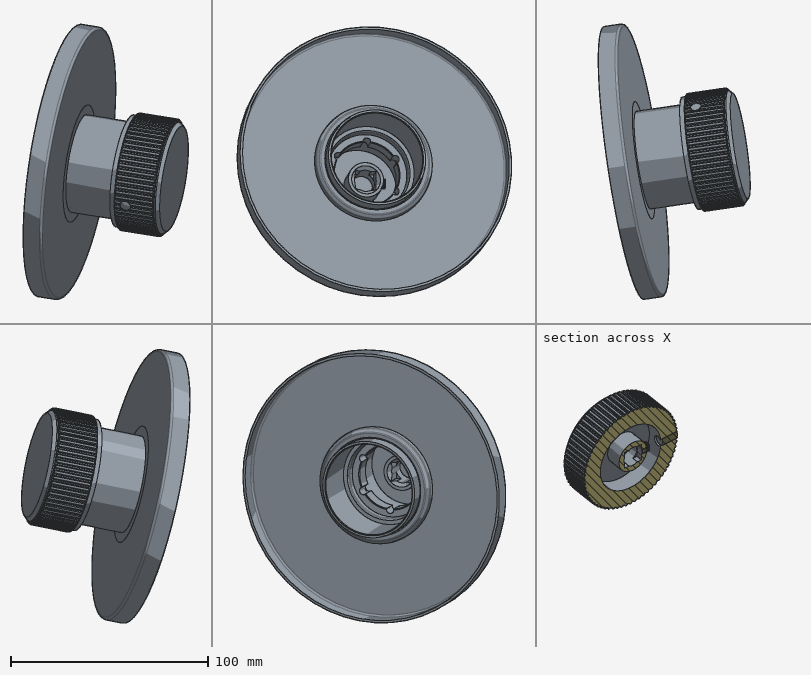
import cadquery as cq
import math


rosette_radius = 70.0
rosette_mouth_x = 3.4
rosette_back_x = 13.3
sheet_thickness = 1.3
dish_outer_fillet = 1.3
dish_inner_fillet = 1.0

bush_radius = 30.1
bush_front_x = 6.7
bush_chamfer = 2.0
bush_fillet = 1.0
bush_bore_chamfer = 0.7

shank_radius = 25.0
shank_length = 37.5
bore_radius = 23.5
bore_depth = 24.5
bore_chamfer = 0.4
step_radius = 20.6
step_depth = 29.3
step_chamfer = 0.8
step_fillet = 1.0
star_radius = 16.7
star_chamfer = 0.4
notch_radius = 2.0
notch_centre_radius = 17.0
notch_count = 6

overall_length = 63.3
collar_radius = 28.8
knurl_start_x = 40.0
knurl_end_x = 60.8
end_chamfer = 1.8
ridge_count = 66
ridge_root_width = 2.1
ridge_crown_width = 1.3
ridge_root_radius = 29.4
ridge_crown_radius = 29.8
ridge_tip_radius = 30.2
ridge_end_chamfer = 0.5
cavity_radius = 19.3
cavity_floor_x = 53.2

hub_y = -1.5
hub_radius = 9.1
hub_front_x = knurl_start_x
spindle_radius = 5.6
socket_width = 10.6
socket_height = 9.8
socket_end_x = 47.6
countersink_radius = 7.4

screw_x = 46.0
screw_radius = 2.5
screw_inner_y = hub_y - spindle_radius - 0.3
screw_outer_y = -12.3
thread_count = 10
thread_depth = 0.4
plug_radius = 2.8
plug_inner_y = -20.3
plug_rim_y = -30.0
plug_tip_y = -30.7


def turned(points):
    """Revolve a closed outline of (x, radius) points about the X axis."""
    return cq.Workplane("XY").polyline(points).close().revolve(360, (0, 0, 0), (1, 0, 0))


def cylinder_x(radius, start_x, end_x, y=0.0, z=0.0):
    return cq.Workplane("YZ", origin=(start_x, y, z)).circle(radius).extrude(end_x - start_x)


def cylinder_to_minus_y(radius, start_y, end_y):
    return cq.Workplane("XZ", origin=(screw_x, start_y, 0)).circle(radius).extrude(start_y - end_y)


def make_rosette():
    shell = cylinder_x(rosette_radius, rosette_mouth_x, rosette_back_x)
    shell = shell.faces(">X").edges().fillet(dish_outer_fillet)
    dish = cylinder_x(
        rosette_radius - sheet_thickness, rosette_mouth_x, rosette_back_x - sheet_thickness
    )
    dish = dish.faces(">X").edges().fillet(dish_inner_fillet)
    hole = cylinder_x(bush_radius, rosette_mouth_x, rosette_back_x)
    return shell.cut(dish).cut(hole)


def make_bush():
    shoulder_x = bush_front_x + bush_chamfer
    ring = turned([
        (bush_front_x, 0),
        (bush_front_x, bush_radius - bush_chamfer),
        (shoulder_x, bush_radius),
        (rosette_back_x, bush_radius),
        (rosette_back_x, 0),
    ])
    ring = ring.edges(cq.selectors.BoxSelector(
        (bush_front_x - bush_fillet, -bush_radius, -bush_radius),
        (shoulder_x + bush_fillet, bush_radius, bush_radius),
    )).edges("%CIRCLE").fillet(bush_fillet)
    ring = ring.cut(cylinder_x(shank_radius, bush_front_x, rosette_back_x))
    return ring.cut(turned([
        (bush_front_x, 0),
        (bush_front_x, shank_radius + bush_bore_chamfer),
        (bush_front_x + bush_bore_chamfer, shank_radius),
        (bush_front_x + bush_bore_chamfer, 0),
    ]))


def make_shank():
    shank = turned([
        (0, bore_radius + bore_chamfer),
        (0, shank_radius),
        (shank_length, shank_radius),
        (shank_length, star_radius),
        (step_depth + star_chamfer, star_radius),
        (step_depth, star_radius + star_chamfer),
        (step_depth, step_radius),
        (bore_depth + step_chamfer, step_radius),
        (bore_depth, step_radius + step_chamfer),
        (bore_depth, bore_radius),
        (bore_chamfer, bore_radius),
    ])
    step_edge_x = bore_depth + step_chamfer
    shank = shank.edges(cq.selectors.BoxSelector(
        (step_edge_x - step_chamfer / 2, -step_radius, -step_radius),
        (step_edge_x + step_chamfer / 2, step_radius, step_radius),
        boundingbox=False,
    )).edges("%CIRCLE").fillet(step_fillet)
    for index in range(notch_count):
        angle = math.radians(90 + index * 360 / notch_count)
        shank = shank.cut(cylinder_x(
            notch_radius,
            step_depth,
            shank_length,
            notch_centre_radius * math.cos(angle),
            notch_centre_radius * math.sin(angle),
        ))
    return shank


def make_knurl():
    """Grip with straight ridges that have sloping flanks, rounded crowns and chamfered ends."""
    pitch = 2 * math.pi / ridge_count
    root_angle = ridge_root_width / 2 / ridge_root_radius
    crown_angle = ridge_crown_width / 2 / ridge_crown_radius

    def at(radius, angle):
        return (radius * math.cos(angle), radius * math.sin(angle))

    first_ridge = math.pi / 2
    outline = cq.Workplane("YZ", origin=(knurl_start_x, 0, 0))
    outline = outline.moveTo(*at(ridge_root_radius, first_ridge - root_angle))
    for index in range(ridge_count):
        middle = first_ridge + index * pitch
        outline = outline.lineTo(*at(ridge_crown_radius, middle - crown_angle))
        outline = outline.threePointArc(
            at(ridge_tip_radius, middle), at(ridge_crown_radius, middle + crown_angle)
        )
        outline = outline.lineTo(*at(ridge_root_radius, middle + root_angle))
        outline = outline.threePointArc(
            at(ridge_root_radius, middle + pitch / 2),
            at(ridge_root_radius, middle + pitch - root_angle),
        )
    ridges = outline.close().extrude(knurl_end_x - knurl_start_x)
    envelope = cylinder_x(ridge_tip_radius, knurl_start_x, knurl_end_x)
    envelope = envelope.edges("%CIRCLE").chamfer(ridge_end_chamfer)
    return ridges.intersect(envelope)


def make_hub():
    hub = cylinder_x(hub_radius, hub_front_x, cavity_floor_x, hub_y)
    hub = hub.cut(cylinder_x(spindle_radius, hub_front_x, cavity_floor_x, hub_y))
    socket = cq.Workplane("YZ", origin=(hub_front_x, hub_y, 0))
    socket = socket.rect(socket_width, socket_height)
    hub = hub.cut(socket.extrude(socket_end_x - hub_front_x))
    countersink_depth = countersink_radius - spindle_radius
    countersink = turned([
        (hub_front_x, 0),
        (hub_front_x, countersink_radius),
        (hub_front_x + countersink_depth, spindle_radius),
        (hub_front_x + countersink_depth, 0),
    ])
    return hub.cut(countersink.translate((0, hub_y, 0)))


def make_knob(screw):
    knob = cylinder_x(collar_radius, shank_length, overall_length)
    knob = knob.faces(">X").edges().chamfer(end_chamfer)
    knob = knob.union(make_knurl())
    knob = knob.cut(cylinder_x(cavity_radius, shank_length, cavity_floor_x))
    knob = knob.cut(cylinder_to_minus_y(plug_radius, 0, -ridge_tip_radius))
    return knob.union(make_hub()).cut(screw)


def make_screw():
    """Grub screw with ring-shaped threads, turned about its own axis."""
    thread_pitch = (screw_inner_y - screw_outer_y) / thread_count
    outline = [(0, screw_inner_y), (screw_radius, screw_inner_y)]
    for index in range(thread_count):
        crest_y = screw_inner_y - index * thread_pitch
        outline.append((screw_radius - thread_depth, crest_y - thread_pitch / 2))
        outline.append((screw_radius, crest_y - thread_pitch))
    outline.append((0, screw_outer_y))
    screw = cq.Workplane("XY").polyline(outline).close().revolve(360, (0, 0, 0), (0, 1, 0))
    return screw.translate((screw_x, 0, 0))


def make_plug():
    outline = (
        cq.Workplane("XY")
        .moveTo(0, plug_inner_y)
        .lineTo(plug_radius, plug_inner_y)
        .lineTo(plug_radius, plug_rim_y)
    )
    rise = plug_rim_y - plug_tip_y
    dome_radius = (plug_radius**2 + rise**2) / (2 * rise)
    middle_x = plug_radius / 2
    middle_y = plug_tip_y + dome_radius - math.sqrt(dome_radius**2 - middle_x**2)
    plug = outline.threePointArc((middle_x, middle_y), (0, plug_tip_y)).close()
    return plug.revolve(360, (0, 0, 0), (0, 1, 0)).translate((screw_x, 0, 0))


rosette = make_rosette()
bush = make_bush()
shank = make_shank()
screw = make_screw()
knob = make_knob(screw)
plug = make_plug()

result = cq.Compound.makeCompound([
    rosette.val(), bush.val(), shank.val(), knob.val(), screw.val(), plug.val()
])